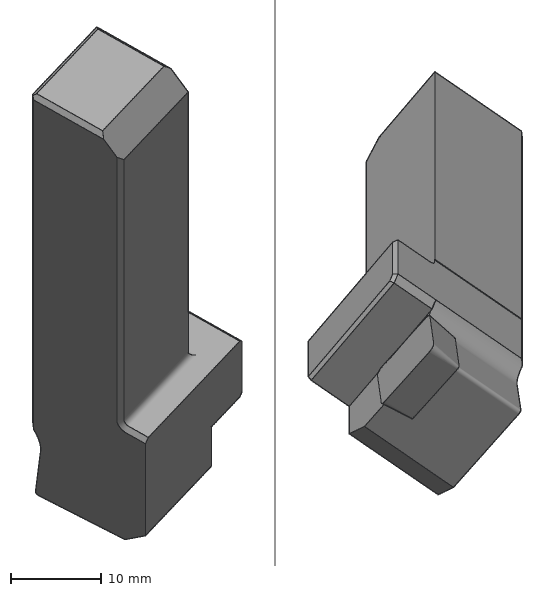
import cadquery as cq
import math

total_height = 69.95
shank_width = 12.65
shank_top_bevel = 2.95
shank_left = 0.1
shank_bottom = 22.3
edge_chamfer = 0.55

head_width = 16.0
head_depth = 18.2
head_top = 21.05
head_bottom = 11.3
head_left = 0.15
head_bevel_width = 0.7
head_end_chamfer = 0.4
step_fillet = 0.7

nose_depth = 12.45
relief_start = 12.5
relief_radius = 4.4
relief_end = (1.55, 8.55)
nose_corner = (0.85, 1.0)
nose_corner_fillet = 0.4
heel_start = (13.2, 1.8)
heel_top = 4.5

insert_side = 9.65
insert_thickness = 3.9
insert_face = 12.9
insert_tilt = 5.0
insert_clearance = 7.0
insert_radius = 0.8


def block(x_range, y_range, z_range):
    """Axis-aligned box between the given limits."""
    (x0, x1), (y0, y1), (z0, z1) = x_range, y_range, z_range
    return cq.Workplane("XY").box(x1 - x0, y1 - y0, z1 - z0, centered=False).translate((x0, y0, z0))


def make_profile(depth):
    """Side outline of the whole holder, from y = 0 to the given depth."""
    return (
        cq.Workplane("XZ")
        .moveTo(*nose_corner)
        .lineTo(*heel_start)
        .lineTo(head_width, heel_top)
        .lineTo(head_width, head_top)
        .lineTo(shank_width, head_top)
        .lineTo(shank_width, total_height - shank_top_bevel)
        .lineTo(shank_width - shank_top_bevel, total_height)
        .lineTo(shank_left, total_height)
        .lineTo(shank_left, shank_bottom)
        .lineTo(head_left, shank_bottom)
        .lineTo(head_left, relief_start)
        .radiusArc(relief_end, relief_radius)
        .close()
        .extrude(-depth)
    )


def make_holder():
    body = make_profile(head_depth)

    across = (-head_width, 2 * head_width)
    body = body.cut(block(across, (shank_width, head_depth), (head_top, total_height)))
    body = body.cut(block(across, (nose_depth, head_depth), (0, head_bottom)))

    bevel = (
        cq.Workplane("XZ", origin=(0, nose_depth, 0))
        .moveTo(head_left, relief_start)
        .lineTo(head_left + head_bevel_width, head_bottom)
        .lineTo(head_width / 2, head_bottom)
        .lineTo(head_width / 2, relief_start)
        .close()
        .extrude(nose_depth - head_depth)
    )
    body = body.union(bevel)

    body = body.edges(
        cq.selectors.BoxSelector(
            (-0.7, -0.7, head_top - 0.1), (shank_width + 0.1, shank_width + 0.1, head_top + 0.1)
        )
    ).fillet(step_fillet)

    corner_x, corner_z = nose_corner
    body = body.edges(cq.selectors.NearestToPointSelector((corner_x, nose_depth / 2, corner_z)))
    body = body.fillet(nose_corner_fillet)

    front_right = cq.selectors.NearestToPointSelector((shank_width, 0, (total_height + head_top) / 2))
    body = body.edges(front_right).chamfer(edge_chamfer)

    body = body.faces(">Z").edges("<X or <Y or >Y").chamfer(edge_chamfer)

    chamfer_end = shank_left + edge_chamfer
    corner_wedge = (
        cq.Workplane("XY", origin=(0, 0, relief_end[1]))
        .polyline([(0, 0), (chamfer_end, 0), (0, chamfer_end)])
        .close()
        .extrude(total_height)
    )
    body = body.cut(corner_wedge)

    body = body.faces(">Y").edges("not >X").chamfer(head_end_chamfer)
    return body


def make_insert():
    """Rhombus whose rounded tip touches x = 0 and z = 0, tapering towards -Y."""
    tilt = math.radians(insert_tilt)
    half_tip_angle = math.radians(45 - insert_tilt)
    tip = insert_radius * (1 - 1 / (math.sqrt(2) * math.sin(half_tip_angle)))
    long_step = insert_side * math.cos(tilt)
    short_step = insert_side * math.sin(tilt)
    far = tip + long_step + short_step
    outline = (
        cq.Sketch()
        .polygon([
            (tip, tip),
            (tip + long_step, tip + short_step),
            (far, far),
            (tip + short_step, tip + long_step),
            (tip, tip),
        ])
        .vertices()
        .fillet(insert_radius)
    )
    return (
        cq.Workplane("XZ", origin=(0, insert_face, 0))
        .placeSketch(outline)
        .extrude(insert_thickness, taper=insert_clearance)
    )


insert = make_insert()
holder = make_holder().cut(insert)

result = cq.Compound.makeCompound([holder.val(), insert.val()])